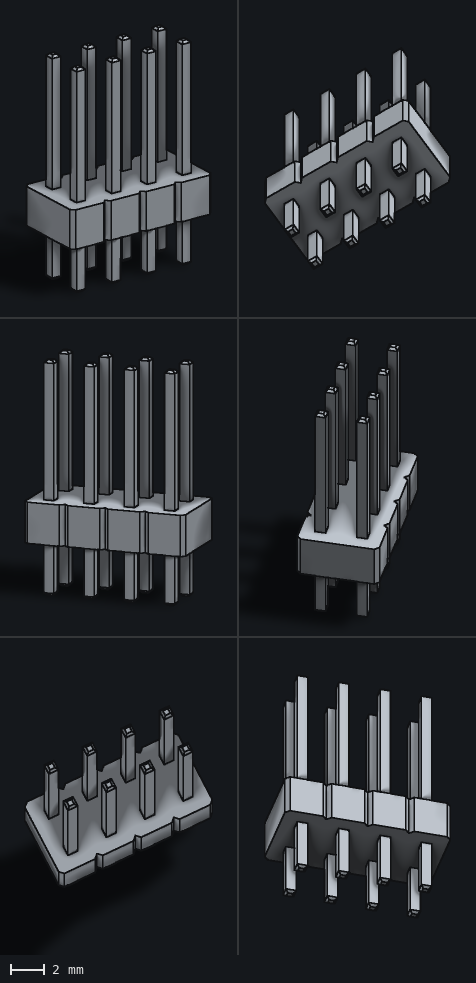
import cadquery as cq

columns = 2
rows = 4
body_width = 5.0
body_length = 10.15
body_height = 2.52
corner_chamfer = 0.26
pitch = body_length / rows

pin_length = 14.3
pin_side = 0.65
tip_chamfer = 0.16
pin_below_body = 3.29


def centred_positions(count):
    """Positions of count items, one pitch apart and centred on zero."""
    return [(i - (count - 1) / 2) * pitch for i in range(count)]


def make_segment():
    """One row's block of the body, standing on z = 0, with chamfered upright edges."""
    return (
        cq.Workplane("XY")
        .box(body_width, pitch, body_height, centered=(True, True, False))
        .edges("|Z")
        .chamfer(corner_chamfer)
    )


def make_body():
    """Row segments joined end to end, so their chamfers form V notches between rows."""
    segment = make_segment()
    body = cq.Workplane("XY")
    for y in centred_positions(rows):
        body = body.union(segment.translate((0, y, 0)))
    return body.clean()


def make_pin():
    """Square pin on the Z axis with both ends chamfered."""
    return (
        cq.Workplane("XY", origin=(0, 0, -pin_below_body))
        .rect(pin_side, pin_side)
        .extrude(pin_length)
        .faces("<Z or >Z")
        .chamfer(tip_chamfer)
    )


result = make_body()
pin = make_pin()
for x in centred_positions(columns):
    for y in centred_positions(rows):
        result = result.union(pin.translate((x, y, 0)))